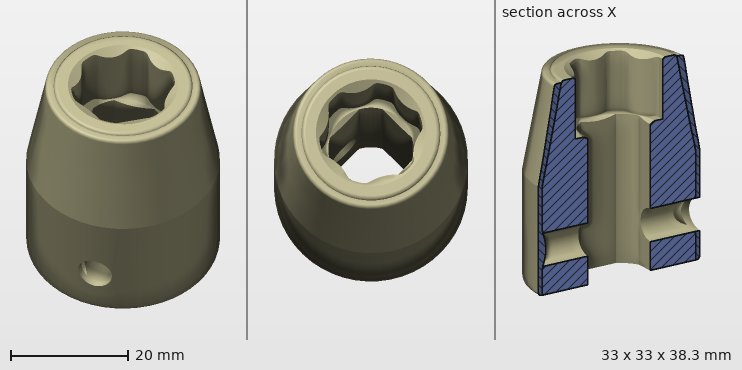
import cadquery as cq
import math

height = 38.3
body_radius = 16.5
straight_height = 20.0

sleeve_top = 37.95
sleeve_top_radius = 13.18
wall = 0.8
sleeve_top_fillet = 0.65
sleeve_bottom_fillet = 0.73

socket_radius = body_radius - wall
socket_top_radius = 11.75
socket_top_fillet = 0.75

pin_height = 8.27
pin_hole_radius = 3.0
groove_radius = 2.37
groove_center_radius = 15.75
bead_radius = 7.65
bead_tip_radius = 14.9

lobe_count = 6
lobe_radius = 8.9
lobe_half_angle = 10.5
lobe_corner_fillet = 1.35
valley_radius = 7.65
drive_floor = 27.1
mouth_radius = 9.4
mouth_slope = 0.6

square_side = 12.7
lead_in_radius = 7.28
lead_in_depth = 0.5


def tapered_blank(base_radius, top_radius, top):
    """Straight cylinder with a truncated cone above it."""
    outline = [(0, 0), (base_radius, 0), (base_radius, straight_height), (top_radius, top), (0, top)]
    return cq.Workplane("XZ").polyline(outline).close().revolve(360, (0, 0), (0, 1))


def pin_ring(center_radius, section_radius):
    """Ring of round section about Z, level with the pin hole."""
    return cq.Workplane(cq.Solid.makeTorus(center_radius, section_radius, cq.Vector(0, 0, pin_height)))


def socket_blank():
    """Solid core that fills the sleeve, waisted by the bead."""
    core = tapered_blank(socket_radius, socket_top_radius, height)
    return core.cut(pin_ring(bead_tip_radius + bead_radius, bead_radius))


def polar(radius, degrees):
    angle = math.radians(degrees)
    return (radius * math.cos(angle), radius * math.sin(angle))


def lobed_drive():
    """Six rounded lobes joined by inward-bulging valleys."""
    pitch = 360 / lobe_count
    first_lobe = pitch / 2
    outline = cq.Workplane("XY", origin=(0, 0, drive_floor))
    outline = outline.moveTo(*polar(lobe_radius, first_lobe - lobe_half_angle))
    for i in range(lobe_count):
        lobe = first_lobe + i * pitch
        outline = outline.threePointArc(polar(lobe_radius, lobe), polar(lobe_radius, lobe + lobe_half_angle))
        next_start = polar(lobe_radius, lobe + pitch - lobe_half_angle)
        outline = outline.threePointArc(polar(valley_radius, lobe + pitch / 2), next_start)
    return outline.close().extrude(height - drive_floor).edges("|Z").fillet(lobe_corner_fillet)


def drive_mouth():
    """Conical lead-in above the lobed drive."""
    depth = mouth_radius * mouth_slope
    outline = [(0, height), (mouth_radius, height), (0, height - depth)]
    return cq.Workplane("XZ").polyline(outline).close().revolve(360, (0, 0), (0, 1))


def square_drive():
    """Square hole with its corners rounded to the lead-in circle."""
    square = cq.Workplane("XY").rect(square_side, square_side).extrude(drive_floor)
    return square.intersect(cq.Workplane("XY").circle(lead_in_radius).extrude(drive_floor))


def square_lead_in():
    """Shallow conical lead-in from the floor of the lobed drive to the square."""
    square_half = square_side / 2
    cone_floor = drive_floor - lead_in_depth
    outline = [(0, drive_floor), (lead_in_radius, drive_floor), (square_half, cone_floor), (0, cone_floor)]
    return cq.Workplane("XZ").polyline(outline).close().revolve(360, (0, 0), (0, 1))


def pin_hole(length):
    """Cross hole running from the -Y side toward +Y."""
    start = cq.Workplane("XZ", origin=(0, -body_radius, pin_height))
    return start.circle(pin_hole_radius).extrude(-length)


def make_socket():
    body = socket_blank()
    body = body.faces(">Z").edges().fillet(socket_top_fillet)
    body = body.cut(pin_ring(groove_center_radius, groove_radius))
    body = body.cut(lobed_drive()).cut(drive_mouth())
    body = body.cut(square_lead_in()).cut(square_drive())
    return body.cut(pin_hole(2 * body_radius))


def make_sleeve():
    body = tapered_blank(body_radius, sleeve_top_radius, sleeve_top)
    body = body.faces(">Z").edges().fillet(sleeve_top_fillet)
    body = body.faces("<Z").edges().fillet(sleeve_bottom_fillet)
    return body.cut(socket_blank()).cut(pin_hole(body_radius))


socket = make_socket()
sleeve = make_sleeve()
result = cq.Compound.makeCompound([socket.val(), sleeve.val()])